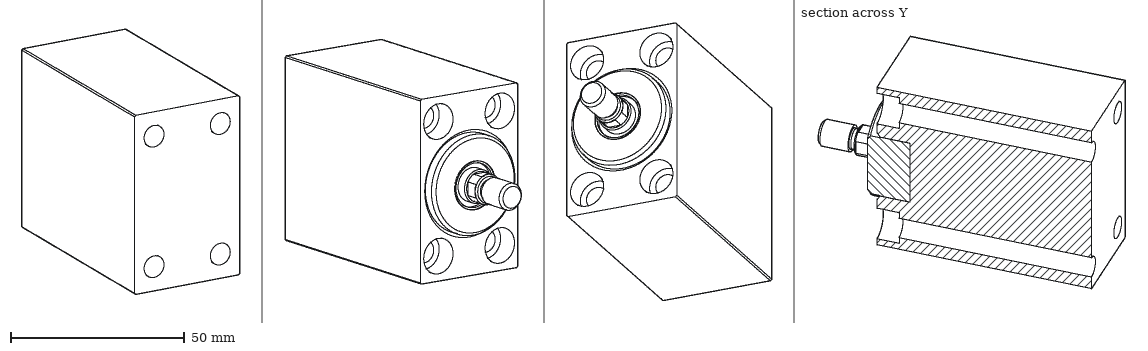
import cadquery as cq


OVERALL_LENGTH = 87.0

BLOCK_LENGTH = 66.0
BLOCK_WIDTH = 35.0
BLOCK_HEIGHT = 55.0
BLOCK_EDGE_CHAMFER = 0.4

HOLE_SPACING_Y = 22.0
HOLE_SPACING_Z = 40.0
HOLE_DIAMETER = 6.6
COUNTERBORE_DIAMETER = 10.5
COUNTERBORE_DEPTH = 6.8

GLAND_RADIUS = 15.0
GLAND_CHAMFER = 1.0
GLAND_PROTRUSION = 3.0
GLAND_INSERTION = 10.0
SEAT_CHAMFER = 1.0

WIPER_RADIUS = 7.2
WIPER_LIP_INNER_RADIUS = 6.6
WIPER_SEAT_DEPTH = 3.0
WIPER_LIP_RECESS = 0.35
WIPER_FACE_RECESS = 1.5

ROD_RADIUS = 5.05
TIP_TO_BLOCK = OVERALL_LENGTH - BLOCK_LENGTH
THREAD_RADIUS = 4.0
THREAD_LENGTH = 9.5
TIP_RADIUS = 3.2
TIP_CHAMFER_LENGTH = 0.9
UNDERCUT_RADIUS = 3.05
RUNOUT_RADIUS = 3.2
RUNOUT_END = 10.0
NECK_RADIUS = 4.5
NECK_START = 11.3
NECK_CONE_END = 11.8
FLATS_START = 12.0
FLATS_END = 16.0
FLATS_WIDTH = 8.1
SHOULDER_CONE_END = 16.35

GLAND_FRONT = -GLAND_PROTRUSION


def cylinder(radius, start, end):
    """Cylinder along the X axis between two X positions."""
    return cq.Workplane("YZ", origin=(start, 0, 0)).circle(radius).extrude(end - start)


def revolve_about_x(points):
    """Body of revolution from a closed outline of (x, radius) points."""
    return cq.Workplane("XY").polyline(points).close().revolve(360, (0, 0, 0), (1, 0, 0))


def make_block():
    block = (
        cq.Workplane("YZ")
        .rect(BLOCK_WIDTH, BLOCK_HEIGHT)
        .extrude(BLOCK_LENGTH)
        .edges("|X")
        .chamfer(BLOCK_EDGE_CHAMFER)
    )
    block = (
        block.faces("<X")
        .workplane()
        .rect(HOLE_SPACING_Y, HOLE_SPACING_Z, forConstruction=True)
        .vertices()
        .cboreHole(HOLE_DIAMETER, COUNTERBORE_DIAMETER, COUNTERBORE_DEPTH)
    )
    seat = revolve_about_x([
        (0, 0),
        (0, GLAND_RADIUS + SEAT_CHAMFER),
        (SEAT_CHAMFER, GLAND_RADIUS),
        (GLAND_INSERTION, GLAND_RADIUS),
        (GLAND_INSERTION, 0),
    ])
    return block.cut(seat)


def make_gland():
    gland = cylinder(GLAND_RADIUS, GLAND_FRONT, GLAND_INSERTION).faces("<X").chamfer(GLAND_CHAMFER)
    rod_bore = cylinder(ROD_RADIUS, GLAND_FRONT, GLAND_INSERTION)
    wiper_seat = cylinder(WIPER_RADIUS, GLAND_FRONT, GLAND_FRONT + WIPER_SEAT_DEPTH)
    return gland.cut(rod_bore).cut(wiper_seat)


def make_wiper():
    lip = GLAND_FRONT + WIPER_LIP_RECESS
    face = GLAND_FRONT + WIPER_FACE_RECESS
    back = GLAND_FRONT + WIPER_SEAT_DEPTH
    return revolve_about_x([
        (lip, WIPER_RADIUS),
        (lip, WIPER_LIP_INNER_RADIUS),
        (face, WIPER_LIP_INNER_RADIUS),
        (face, ROD_RADIUS),
        (back, ROD_RADIUS),
        (back, WIPER_RADIUS),
    ])


def make_rod():
    length = TIP_TO_BLOCK + GLAND_INSERTION
    rod = revolve_about_x([
        (0, 0),
        (0, TIP_RADIUS),
        (TIP_CHAMFER_LENGTH, THREAD_RADIUS),
        (THREAD_LENGTH, THREAD_RADIUS),
        (THREAD_LENGTH, RUNOUT_RADIUS),
        (RUNOUT_END, UNDERCUT_RADIUS),
        (NECK_START, UNDERCUT_RADIUS),
        (NECK_START, THREAD_RADIUS),
        (NECK_CONE_END, NECK_RADIUS),
        (FLATS_END, NECK_RADIUS),
        (SHOULDER_CONE_END, ROD_RADIUS),
        (length, ROD_RADIUS),
        (length, 0),
    ])
    flats_length = FLATS_END - FLATS_START
    outer = 2 * ROD_RADIUS
    trim = (
        cq.Workplane("YZ", origin=(FLATS_START, 0, 0))
        .rect(outer, outer)
        .rect(FLATS_WIDTH, FLATS_WIDTH)
        .extrude(flats_length)
    )
    return rod.cut(trim).translate((-TIP_TO_BLOCK, 0, 0))


block = make_block()
gland = make_gland()
wiper = make_wiper()
rod = make_rod()

result = cq.Compound.makeCompound([block.val(), gland.val(), wiper.val(), rod.val()])